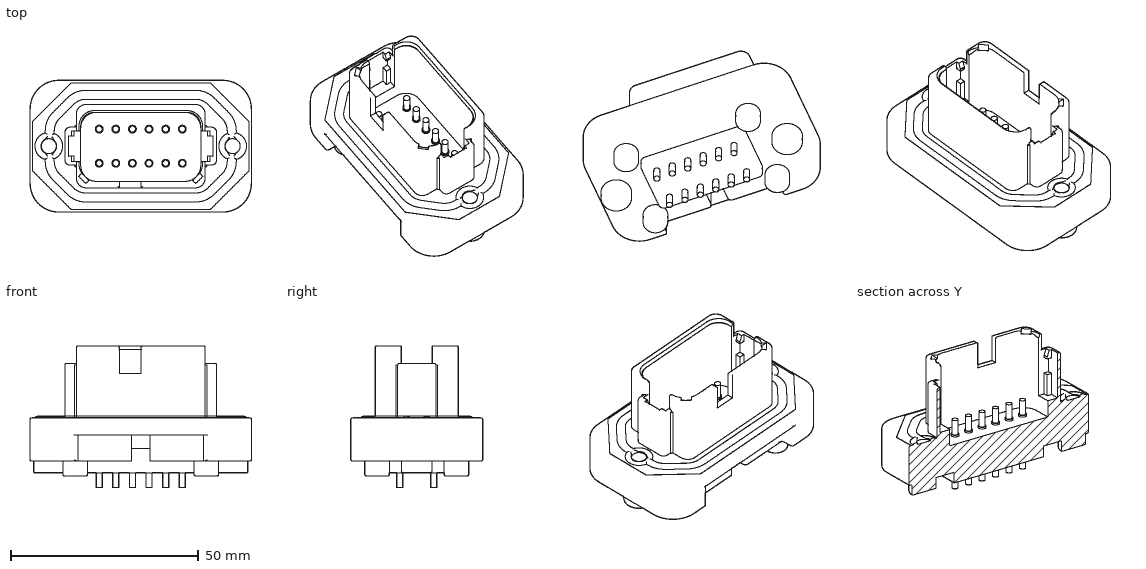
import cadquery as cq
import math


edge_round = 0.5
overcut = 0.6

flange_length = 59.2
flange_width = 35.3
flange_height = 11.6
flange_corner = 7.7
land_height = 0.05
land_margin = 0.7
land_corner_cut = 10.3

bead_half_length = 25.6
bead_half_width = 15.0
bead_corner_cut = 8.0
bead_corner_radius = 7.1
bead_width = 2.5
bead_height = 0.4
bead_side_run = 0.7
socket_x = 24.6
socket_ring_radius = 3.75
socket_radius = 2.0
socket_mouth_round = 0.6

shell_top = 30.85
shell_length = 34.45
shell_width = 22.25
shell_corner = 2.6
cavity_length = 32.1
cavity_back = 9.05
cavity_front = -9.4
cavity_corner = 4.2
cavity_floor = 8.3
lead_in_run = 0.5
lead_in_depth = 0.95
notch_left = -5.75
notch_right = 0.1
notch_floor = 23.45
key_width = 2.7
key_reach = 1.2
key_depth = 0.95

ear_top = 26.2
ear_reach = 20.3
ear_half_width = 5.1
ear_corner = 1.5
slot_half_width = 4.1
slot_inner_x = 11.85
slot_floor = ear_top - edge_round
ear_pocket_floor = 13.0
ear_pocket_reach = 19.3
ear_pocket_half_width = 2.65
ear_step_x = 17.8
ear_step_lead_in = 0.65
ear_step_drop = 1.8
ear_window_bottom = 19.2
ear_window_top = 23.75

relief_half_length = 16.8
relief_top = 7.0
relief_depth = 3.9
relief_corner = 0.9
relief_mouth_round = 1.0
gap_half_width = 2.4

block_bottom = -3.15
block_top = 3.45
block_half_length = 14.85
block_half_width = 7.75
block_corner = 1.5
ledge_depth = 0.95
foot_bottom = -3.95
foot_radius = 3.3
foot_x = 17.5
foot_y = 10.6
socket_foot_radius = 4.1
pin_bottom = -7.05
pin_top = 12.95
pin_radius = 0.8
pin_pitch = 4.45
pin_row_y = 4.55
pins_per_row = 6
collar_radius = 1.035
collar_height = 0.5


def block_between(x_range, y_range, z_range):
    """Axis-aligned box given by its limits along each axis."""
    sizes = [high - low for low, high in (x_range, y_range, z_range)]
    corner = (x_range[0], y_range[0], z_range[0])
    return cq.Workplane("XY").box(*sizes, centered=False).translate(corner)


def rounded_block(length, width, corner, bottom, top):
    """Centred upright block with rounded vertical edges."""
    block = cq.Workplane("XY").workplane(offset=bottom).rect(length, width).extrude(top - bottom)
    return block.edges("|Z").fillet(corner)


def cylinder(x, y, radius, bottom, top):
    return cq.Workplane("XY", origin=(x, y, bottom)).circle(radius).extrude(top - bottom)


def clipped_rectangle(half_length, half_width, cut, bottom, height):
    """Upright eight-sided block: a rectangle with its corners cut at 45 degrees."""
    quarter = [(half_length, half_width - cut), (half_length - cut, half_width)]
    upper = quarter + [(-x, y) for x, y in reversed(quarter)]
    outline = upper + [(-x, -y) for x, y in upper]
    return cq.Workplane("XY").workplane(offset=bottom).polyline(outline).close().extrude(height)


def make_flange():
    flange = rounded_block(flange_length, flange_width, flange_corner, 0, flange_height)
    flange = flange.faces("<Z or >Z").edges().fillet(edge_round)
    land = clipped_rectangle(
        flange_length / 2 - land_margin,
        flange_width / 2 - land_margin,
        land_corner_cut,
        flange_height - overcut,
        overcut + land_height,
    )
    return flange.union(land).cut(make_pocket()).cut(make_gap())


def make_pocket():
    """Wide front pocket with flared side walls and rounded inner corners."""
    front = -flange_width / 2
    back = front + relief_depth
    half = relief_half_length
    mouth_half = half + relief_mouth_round
    return (
        cq.Workplane("XY", origin=(0, 0, -overcut))
        .moveTo(-mouth_half, front - overcut)
        .lineTo(-mouth_half, front)
        .radiusArc((-half, front + relief_mouth_round), -relief_mouth_round)
        .lineTo(-half, back - relief_corner)
        .radiusArc((-half + relief_corner, back), relief_corner)
        .lineTo(half - relief_corner, back)
        .radiusArc((half, back - relief_corner), relief_corner)
        .lineTo(half, front + relief_mouth_round)
        .radiusArc((mouth_half, front), -relief_mouth_round)
        .lineTo(mouth_half, front - overcut)
        .close()
        .extrude(relief_top + overcut)
    )


def make_gap():
    """Gap between the two pads, flared at the pads and deeper above the block's ledge."""
    pad_face = -flange_width / 2 + relief_depth
    half = gap_half_width
    flare_half = half + relief_mouth_round
    lower = (
        cq.Workplane("XY", origin=(0, 0, -overcut))
        .moveTo(-flare_half, pad_face - overcut)
        .lineTo(-flare_half, pad_face)
        .radiusArc((-half, pad_face + relief_mouth_round), -relief_mouth_round)
        .lineTo(-half, -block_half_width)
        .lineTo(half, -block_half_width)
        .lineTo(half, pad_face + relief_mouth_round)
        .radiusArc((flare_half, pad_face), -relief_mouth_round)
        .lineTo(flare_half, pad_face - overcut)
        .close()
        .extrude(relief_top + overcut)
    )
    y_range = (pad_face + relief_mouth_round, -block_half_width + ledge_depth)
    upper = block_between((-half, half), y_range, (block_top, relief_top))
    return lower.union(upper)


def bead_profile(center, width):
    """Low bead section in the XZ plane: flat top, sides rounded down to the flange."""
    top = flange_height + bead_height
    flat_half = width / 2 - bead_side_run
    side_radius = (bead_side_run**2 + bead_height**2) / (2 * bead_height)
    return (
        cq.Workplane("XZ")
        .moveTo(center - width / 2, flange_height - overcut)
        .lineTo(center - width / 2, flange_height)
        .radiusArc((center - flat_half, top), side_radius)
        .lineTo(center + flat_half, top)
        .radiusArc((center + width / 2, flange_height), side_radius)
        .lineTo(center + width / 2, flange_height - overcut)
        .close()
    )


def make_gasket_bead():
    """Closed eight-sided bead swept around the shell."""
    outer = clipped_rectangle(bead_half_length, bead_half_width, bead_corner_cut, flange_height, bead_height)
    outer = outer.edges("|Z").fillet(bead_corner_radius)
    path = outer.faces("<Z").wires().toPending().offset2D(-bead_width / 2)
    return bead_profile(bead_half_length - bead_width / 2, bead_width).sweep(path)


def make_socket_ring(x):
    width = socket_ring_radius - socket_radius
    profile = bead_profile(socket_radius + width / 2, width)
    return profile.revolve(360, (0, 0, 0), (0, 1, 0)).translate((x, 0, 0))


def make_socket_hole(x):
    """Shallow round dish with a rounded mouth."""
    top = flange_height + bead_height
    mouth = socket_radius + socket_mouth_round
    profile = (
        cq.Workplane("XZ")
        .moveTo(0, top - socket_mouth_round)
        .lineTo(socket_radius, top - socket_mouth_round)
        .radiusArc((mouth, top), socket_mouth_round)
        .lineTo(0, top)
        .close()
    )
    return profile.revolve(360, (0, 0, 0), (0, 1, 0)).translate((x, 0, 0))


def make_shell_body():
    """Solid shell and ears, before the cavity is cut."""
    shell = rounded_block(shell_length, shell_width, shell_corner, flange_height, shell_top)
    shell = shell.faces(">Z").edges().fillet(edge_round)
    for side in (-1, 1):
        shell = cut_shell_slot(shell, side)
    ears = rounded_block(2 * ear_reach, 2 * ear_half_width, ear_corner, flange_height, ear_top)
    ears = ears.faces(">Z").edges().fillet(edge_round)
    return shell.union(ears)


def cut_shell_slot(shell, side):
    """Open the shell's end wall above the ear and round the slot's outer edges."""
    reach = 0.05
    wall_x = side * shell_length / 2
    slot_x = sorted((wall_x + side * overcut, side * slot_inner_x))
    slot = block_between(slot_x, (-slot_half_width, slot_half_width), (slot_floor, shell_top + overcut))
    outer_edges = cq.selectors.BoxSelector(
        (wall_x - reach, -slot_half_width - reach, slot_floor - reach),
        (wall_x + reach, slot_half_width + reach, shell_top),
    )
    return shell.cut(slot).edges("|Z").edges(outer_edges).fillet(edge_round)


def make_ear_roots():
    """Concave rounds where the ears meet the shell's end walls."""
    roots = cq.Workplane("XY")
    wall_x = shell_length / 2
    for x_side in (-1, 1):
        for y_side in (-1, 1):
            corner = (x_side * wall_x, y_side * ear_half_width)
            along_ear = (x_side * (wall_x + edge_round), y_side * ear_half_width)
            along_wall = (x_side * wall_x, y_side * (ear_half_width + edge_round))
            root = (
                cq.Workplane("XY")
                .workplane(offset=flange_height)
                .moveTo(*corner)
                .lineTo(*along_ear)
                .radiusArc(along_wall, x_side * y_side * -edge_round)
                .close()
                .extrude(ear_top - edge_round - flange_height)
            )
            roots = roots.add(root)
    return roots.combine()


def make_cavity():
    """Shell interior with a lead-in along the back and a key relief in each front corner."""
    depth_y = cavity_back - cavity_front
    center_y = (cavity_back + cavity_front) / 2
    cavity = rounded_block(cavity_length, depth_y, cavity_corner, cavity_floor, shell_top)
    cavity = cavity.translate((0, center_y, 0))
    return cavity.union(make_lead_in()).union(make_keys())


def make_lead_in():
    """Flared mouth of the cavity along its back and ends."""
    nearly_full = 0.99
    depth_y = cavity_back - cavity_front
    flare = (
        cq.Workplane("XY")
        .workplane(offset=shell_top)
        .rect(cavity_length + 2 * lead_in_run, depth_y)
        .extrude(-lead_in_depth)
        .edges("|Z")
        .fillet(cavity_corner)
        .faces("<Z")
        .chamfer(lead_in_depth * nearly_full, lead_in_run * nearly_full)
    )
    return flare.translate((0, cavity_back + lead_in_run - depth_y / 2, 0))


def make_keys():
    """Sloped relief cut diagonally into the rim at each front corner."""
    keys = cq.Workplane("XY")
    center_x = cavity_length / 2 - cavity_corner
    center_y = cavity_front + cavity_corner
    for angle in (225, 315):
        key = (
            cq.Workplane("XZ")
            .moveTo(0, shell_top - key_depth)
            .lineTo(cavity_corner, shell_top - key_depth)
            .lineTo(cavity_corner + key_reach, shell_top)
            .lineTo(0, shell_top)
            .close()
            .extrude(key_width / 2, both=True)
            .rotate((0, 0, 0), (0, 0, 1), angle)
        )
        side = math.copysign(1, math.cos(math.radians(angle)))
        keys = keys.add(key.translate((side * center_x, center_y, 0)))
    return keys.combine()


def make_notch():
    """Index notch in the front wall, with its rim edges rounded."""
    y_range = (-shell_width / 2 - overcut, cavity_front + overcut)
    notch = block_between((notch_left, notch_right), y_range, (notch_floor, shell_top))
    center_x = (notch_left + notch_right) / 2
    half_mouth = (notch_right - notch_left) / 2 + edge_round
    flare = (
        cq.Workplane("XZ", origin=(center_x, y_range[1], 0))
        .moveTo(-half_mouth, shell_top)
        .radiusArc((-half_mouth + edge_round, shell_top - edge_round), edge_round)
        .lineTo(half_mouth - edge_round, shell_top - edge_round)
        .radiusArc((half_mouth, shell_top), edge_round)
        .close()
        .extrude(y_range[1] - y_range[0])
    )
    return notch.union(flare)


def make_ear_pocket():
    """Recess inside both ears, stepped narrower outward, with latch windows through the steps."""
    nearly_full = 0.99
    z_range = (ear_pocket_floor, shell_top)
    wide_y = (-slot_half_width, slot_half_width)
    narrow_y = (-ear_pocket_half_width, ear_pocket_half_width)
    reach_x = (-ear_pocket_reach, ear_pocket_reach)
    lead_in_x = ear_step_x + ear_step_lead_in
    wide = block_between((-ear_step_x, ear_step_x), wide_y, z_range)
    lead_in = block_between((-lead_in_x, lead_in_x), wide_y, (ear_top - ear_step_drop, shell_top))
    lead_in = lead_in.faces("<Z").edges("|Y").chamfer(
        ear_step_drop * nearly_full, ear_step_lead_in * nearly_full
    )
    narrow = block_between(reach_x, narrow_y, z_range)
    window = block_between(reach_x, wide_y, (ear_window_bottom, ear_window_top))
    return wide.union(lead_in).union(narrow).union(window)


def make_block():
    block = rounded_block(2 * block_half_length, 2 * block_half_width, block_corner, block_bottom, overcut)
    return block.faces("<Z").edges().fillet(edge_round)


def make_foot(x, y, radius, bottom):
    foot = cylinder(x, y, radius, bottom, overcut)
    return foot.faces("<Z").edges().fillet(edge_round)


def make_pin(x, y):
    collar = cylinder(x, y, collar_radius, cavity_floor, cavity_floor + collar_height)
    return cylinder(x, y, pin_radius, pin_bottom, pin_top).union(collar)


result = make_flange().union(make_gasket_bead())
result = result.union(make_shell_body()).union(make_ear_roots())
for cutter in (make_cavity(), make_notch(), make_ear_pocket()):
    result = result.cut(cutter)

result = result.union(make_block())
for x_side in (-1, 1):
    result = result.union(make_socket_ring(x_side * socket_x))
    result = result.union(make_foot(x_side * socket_x, 0, socket_foot_radius, block_bottom))
    result = result.cut(make_socket_hole(x_side * socket_x))
    for y_side in (-1, 1):
        result = result.union(make_foot(x_side * foot_x, y_side * foot_y, foot_radius, foot_bottom))

for column in range(pins_per_row):
    pin_x = (column - (pins_per_row - 1) / 2) * pin_pitch
    for pin_y in (-pin_row_y, pin_row_y):
        result = result.union(make_pin(pin_x, pin_y))